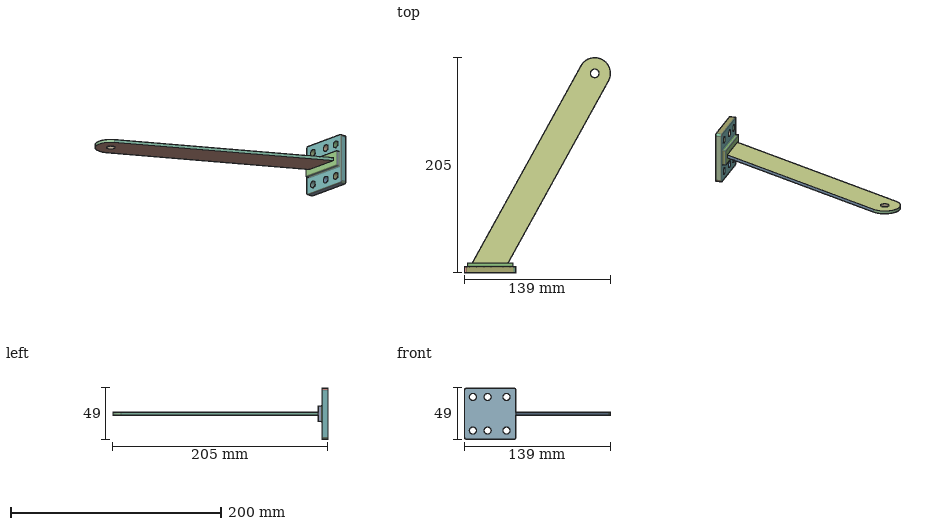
import cadquery as cq
import math

plate_side = 49.0
plate_thickness = 6.0
plate_corner_radius = 2.0

pad_width = 43.5
pad_height = 15.0
pad_thickness = 3.5

edge_radius = 0.5

screw_hole_diameter = 6.5
screw_column_offsets = (8.0, 22.0, 40.0)
screw_row_spacing = 32.0

arm_width = 30.0
arm_thickness = 3.0
tip_hole_diameter = 8.0
overall_length_x = 139.0
overall_length_y = 205.0

tip_radius = arm_width / 2
pad_back_y = plate_thickness + pad_thickness
tip_x = overall_length_x - plate_side / 2 - tip_radius
tip_y = overall_length_y - tip_radius
arm_angle = math.atan2(tip_y - pad_back_y, tip_x)


def make_plate():
    """Square plate with rounded corners, a rounded back rim and its screw holes."""
    plate = (
        cq.Workplane("XY")
        .box(plate_side, plate_thickness, plate_side, centered=(True, False, True))
        .edges("|Y")
        .fillet(plate_corner_radius)
        .faces(">Y")
        .edges()
        .fillet(edge_radius)
    )
    hole_centres = [
        (column - plate_side / 2, side * screw_row_spacing / 2)
        for column in screw_column_offsets
        for side in (-1, 1)
    ]
    holes = (
        cq.Workplane("XZ")
        .pushPoints(hole_centres)
        .circle(screw_hole_diameter / 2)
        .extrude(-plate_thickness)
    )
    return plate.cut(holes)


def make_pad():
    """Rectangular pad rounded along its back rim and its four upright corners."""
    return (
        cq.Workplane("XY")
        .box(pad_width, pad_thickness, pad_height, centered=(True, False, True))
        .translate((0, plate_thickness, 0))
        .edges("|Y or >Y")
        .fillet(edge_radius)
    )


def make_base():
    """Plate and pad joined, with a fillet where the pad meets the plate."""
    margin = 0.1
    root_zone = cq.selectors.BoxSelector(
        (-pad_width / 2 - margin, plate_thickness - margin, -pad_height / 2 - margin),
        (pad_width / 2 + margin, plate_thickness + margin, pad_height / 2 + margin),
    )
    return make_plate().union(make_pad()).edges(root_zone).fillet(edge_radius)


def make_arm():
    """Slanted strip that starts on the pad's back face and ends in a drilled round tip."""
    along_x = math.cos(arm_angle)
    along_y = math.sin(arm_angle)
    half_foot = tip_radius / along_y
    side_x = tip_radius * along_y
    side_y = tip_radius * along_x
    outline = (
        cq.Workplane("XY")
        .workplane(offset=-arm_thickness / 2)
        .moveTo(half_foot, pad_back_y)
        .lineTo(tip_x + side_x, tip_y - side_y)
        .threePointArc(
            (tip_x + tip_radius * along_x, tip_y + tip_radius * along_y),
            (tip_x - side_x, tip_y + side_y),
        )
        .lineTo(-half_foot, pad_back_y)
        .close()
    )
    tip_hole = (
        cq.Workplane("XY")
        .workplane(offset=-arm_thickness / 2)
        .center(tip_x, tip_y)
        .circle(tip_hole_diameter / 2)
        .extrude(arm_thickness)
    )
    return outline.extrude(arm_thickness).cut(tip_hole)


result = make_base().union(make_arm())